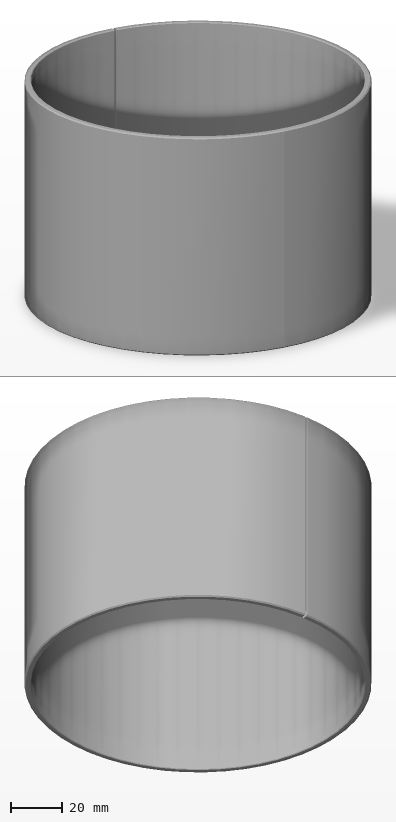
import cadquery as cq

outer_diameter = 135.0
height = 90.0
wall = 2.5
outer_chamfer = 0.5
inner_chamfer = 0.3
slit_width = 1.0

outer_radius = outer_diameter / 2
inner_radius = outer_radius - wall


def make_ring():
    """Thin-walled sleeve, both rims chamfered: wider outside, finer inside."""
    cylinder = cq.Workplane("XY").circle(outer_radius).extrude(height)
    cylinder = cylinder.faces("|Z").edges().chamfer(outer_chamfer)
    sleeve = cylinder.faces(">Z").workplane().hole(2 * inner_radius)
    bore_edges = sleeve.edges(cq.selectors.RadiusNthSelector(0))
    return bore_edges.chamfer(inner_chamfer)


def make_slit():
    """Full-height cutter through the -X wall, with one side on the XZ plane."""
    return (
        cq.Workplane("XY")
        .center(-outer_radius, slit_width / 2)
        .rect(4 * wall, slit_width)
        .extrude(height)
    )


result = make_ring().cut(make_slit())